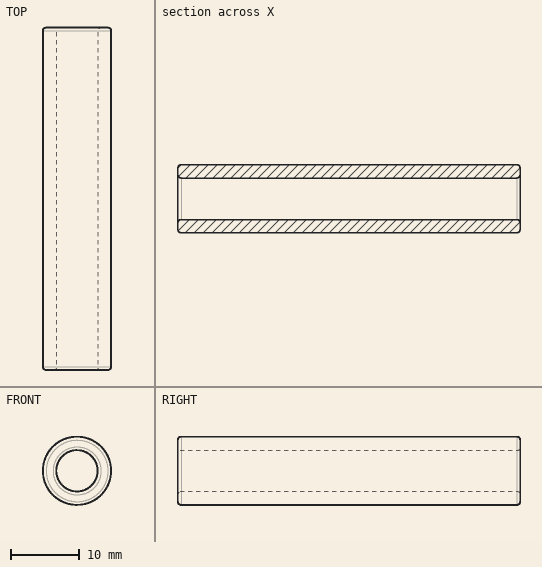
import cadquery as cq

length = 50.0
outer_diameter = 10.0
bore_diameter = 6.0
edge_radius = 0.5

tube = (
    cq.Workplane("XZ", origin=(0, length / 2, 0))
    .circle(outer_diameter / 2)
    .circle(bore_diameter / 2)
    .extrude(length)
)

result = tube.faces("<Y or >Y").edges().fillet(edge_radius)